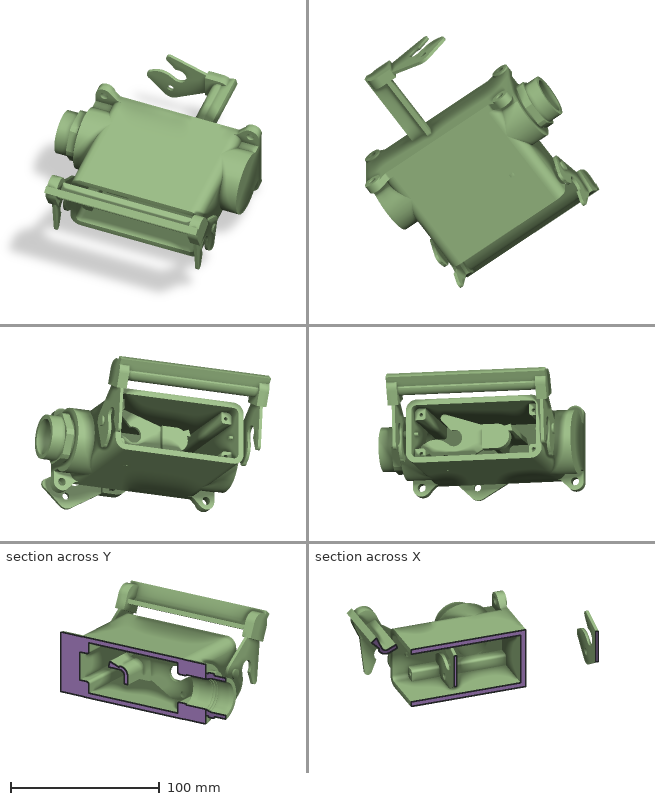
import cadquery as cq


body_half_width = 46.7
body_half_height = 21.6
body_corner_radius = 7.3
wall = 3.8
back_y = 82.8
cavity_half_width = body_half_width - wall
cavity_half_height = body_half_height - wall
cavity_depth = back_y - wall

flange_half_width = 58.7
flange_thickness = 5.0
ear_diameter = 12.0
ear_radius = ear_diameter / 2
ear_hole_diameter = 5.5
ear_boss_height = 1.2
ear_x = flange_half_width - ear_radius
ear_z = 23.0
ear_blend_radius = 1.7
diagonal = 0.5 ** 0.5

entry_y = 57.3
entry_boss_radius = body_half_height
entry_block_half_height = 16.1
entry_bore_diameter = 21.8

post_width = 7.3
post_height = 8.0
post_corner_radius = 2.0
post_front_y = 11.3
post_hole_diameter = 2.5
post_hole_depth = 5.0
post_hole_from_side = 4.3
post_hole_from_floor = 4.5

gland_length = 16.1
gland_tube_diameter = 30.0
gland_neck_diameter = 31.0
gland_neck_length = 1.5
nut_across_flats = 32.2
nut_corner_diameter = 35.2
nut_thickness = 5.3
nut_turn = 30
gland_bore_diameter = 24.3
gland_bore_depth = 12.6
gland_step_diameter = 23.6
gland_step_depth = 14.3
gland_inner_bore_diameter = 22.5

lever_half_width = 54.7
arm_inset = 2.7
arm_thickness = 2.2
hub_width = 7.1
hub_root_x = 25.8
hub_radius = 8.3
hub_center_x = 36.0
hub_center_y = 13.5
hub_bottom = hub_center_y - hub_radius
hub_top = hub_center_y + hub_radius
handle_left = 30.5
handle_bottom = 7.3
handle_thickness = 3.2
handle_bend_y = 13.3
handle_bend_radius = 6.3
lip_bottom = 16.8
lip_end_x = 46.5
lip_top_corner = (45.2, 21.5)
lip_groove = (37.9, 18.8)
lever_hole_diameter = 4.8

pivot_y = 10.1
pin_diameter = 5.2
pin_neck_diameter = lever_hole_diameter
pin_head_diameter = 7.0
pin_head_thickness = 1.3
pin_tip_diameter = 2.5
pin_tip_length = 2.5

front_lever_angle = 115
stored_lever_pivot = (-26.3, 83.1, -13.1)


def lever_arm():
    """Thin hooked plate from the pivot lobe and the claw to the hub."""
    outline = (
        cq.Workplane("XY")
        .moveTo(hub_root_x, hub_bottom)
        .lineTo(3.5, -8.0)
        .threePointArc((-0.2, -8.6), (-3.7, -7.1))
        .lineTo(-15.0, 3.7)
        .threePointArc((-17.0, 7.8), (-14.1, 10.6))
        .threePointArc((-7.5, 13.1), (-1.3, 11.8))
        .lineTo(1.8, 9.8)
        .threePointArc((11.5, 14.0), (4.0, 19.0))
        .lineTo(-2.5, 25.8)
        .threePointArc((-3.2, 28.3), (0.2, 30.0))
        .lineTo(hub_root_x, hub_top)
        .close()
    )
    return outline.extrude(arm_thickness).cut(
        cq.Workplane("XY").circle(lever_hole_diameter / 2).extrude(arm_thickness)
    )


def lever_hub():
    """Block with a round end that joins the arm to the handle."""
    return (
        cq.Workplane("XY")
        .moveTo(hub_root_x, hub_bottom)
        .lineTo(hub_center_x, hub_bottom)
        .threePointArc((hub_center_x + hub_radius, hub_center_y), (hub_center_x, hub_top))
        .lineTo(hub_root_x, hub_top)
        .close()
        .extrude(hub_width)
    )


def lever_handle():
    """Bent grip bar with a lip, over the full width of the lever."""
    bend_x = handle_left + handle_bend_radius
    inner_left = handle_left + handle_thickness
    inner_bend_radius = lip_bottom - handle_bend_y
    inner_bend_x = inner_left + inner_bend_radius
    return (
        cq.Workplane("XY")
        .moveTo(handle_left, handle_bottom)
        .lineTo(handle_left, handle_bend_y)
        .threePointArc(
            (bend_x - handle_bend_radius * diagonal, handle_bend_y + handle_bend_radius * diagonal),
            (bend_x, handle_bend_y + handle_bend_radius),
        )
        .lineTo(*lip_groove)
        .lineTo(*lip_top_corner)
        .lineTo(lip_end_x, lip_bottom)
        .lineTo(inner_bend_x, lip_bottom)
        .threePointArc(
            (inner_bend_x - inner_bend_radius * diagonal, handle_bend_y + inner_bend_radius * diagonal),
            (inner_left, handle_bend_y),
        )
        .lineTo(inner_left, handle_bottom)
        .close()
        .extrude(lever_half_width, both=True)
    )


def make_lever():
    """Lever in its own frame, symmetric about the local XY plane."""
    arm = lever_arm().translate((0, 0, lever_half_width - arm_inset - arm_thickness))
    hub = lever_hub().translate((0, 0, lever_half_width - hub_width))
    side = arm.union(hub)
    return lever_handle().union(side).union(side.mirror("XY"))


def make_front_lever():
    """Lever on the housing pins, swung up in front of the opening."""
    lever = make_lever().rotate((0, 0, 0), (0, 0, 1), front_lever_angle)
    lever = lever.rotate((0, 0, 0), (1, 1, 1), 120)
    return lever.translate((0, pivot_y, 0))


def make_stored_lever():
    """Spare lever that passes through the rear wall, half inside the cavity."""
    return make_lever().rotate((0, 0, 0), (1, 0, 0), 90).translate(stored_lever_pivot)


def block_along_y(half_width, half_height, start_y, end_y):
    """Block centred on X = 0 and Z = 0 between two Y positions."""
    return cq.Workplane("XY").box(
        2 * half_width, end_y - start_y, 2 * half_height, centered=(True, False, True)
    ).translate((0, start_y, 0))


def cylinder_along_x(diameter, start_x, end_x, y):
    """Cylinder along X at the given Y, at Z = 0."""
    return cq.Workplane("YZ", origin=(start_x, y, 0)).circle(diameter / 2).extrude(end_x - start_x)


def cylinder_along_y(diameter, x, z, start_y, end_y):
    """Cylinder along Y at the given X and Z."""
    return cq.Workplane("XZ", origin=(x, start_y, z)).circle(diameter / 2).extrude(start_y - end_y)


def rounded_body():
    """Main block of the housing with rounded long edges."""
    block = block_along_y(body_half_width, body_half_height, 0, back_y)
    return block.edges("|Y").fillet(body_corner_radius)


def housing_shell():
    """Rounded body, rear flange and the two cable entry bosses, still solid."""
    flange = block_along_y(flange_half_width, body_half_height, back_y - flange_thickness, back_y)
    block = block_along_y(flange_half_width, entry_block_half_height, entry_y, back_y)
    boss = cylinder_along_x(2 * entry_boss_radius, -flange_half_width, flange_half_width, entry_y)
    return rounded_body().union(flange).union(block).union(boss)


def mounting_ear():
    """Ear at the +X, +Z corner: a round end with a 45 degree flank and a raised rear pad."""
    tangent_x = ear_x - ear_radius * diagonal
    tangent_z = ear_z + ear_radius * diagonal
    front_y = back_y - flange_thickness
    plate = (
        cq.Workplane("XZ", origin=(0, front_y, 0))
        .moveTo(flange_half_width, 0)
        .lineTo(flange_half_width, ear_z)
        .threePointArc((ear_x, ear_z + ear_radius), (tangent_x, tangent_z))
        .lineTo(tangent_x - tangent_z, 0)
        .close()
        .extrude(-flange_thickness)
    )
    pad = cylinder_along_y(ear_diameter, ear_x, ear_z, front_y, back_y + ear_boss_height)
    return plate.union(pad)


def blend_ears(housing):
    """Round the inner corners between the ear flanks and the flange edge."""
    corner_x = ear_x + body_half_height - ear_z - 2 * ear_radius * diagonal
    for side in (-1, 1):
        for end in (-1, 1):
            corner = cq.Vector(side * corner_x, back_y - flange_thickness / 2, end * body_half_height)
            edge = housing.edges("|Y").edges(cq.NearestToPointSelector(corner.toTuple()))
            housing = edge.fillet(ear_blend_radius)
    return housing


def ear_hole():
    """Screw hole of the +X, +Z ear."""
    return cylinder_along_y(
        ear_hole_diameter, ear_x, ear_z, back_y - flange_thickness, back_y + ear_boss_height
    )


def housing_cavity():
    """Interior space, open at the front."""
    cavity = block_along_y(cavity_half_width, cavity_half_height, 0, cavity_depth)
    return cavity.edges("|Y").fillet(body_corner_radius - wall)


def screw_post():
    """Screw post in the +X, +Z corner of the cavity, with its blind hole."""
    post = (
        cq.Workplane("XY")
        .box(post_width + wall / 2, cavity_depth - post_front_y, post_height + wall / 2, centered=False)
        .edges("|Y and <X and <Z")
        .fillet(post_corner_radius)
        .translate((cavity_half_width - post_width, post_front_y, cavity_half_height - post_height))
    )
    hole = cylinder_along_y(
        post_hole_diameter,
        cavity_half_width - post_hole_from_side,
        cavity_half_height - post_hole_from_floor,
        post_front_y,
        post_front_y + post_hole_depth,
    )
    return post.cut(hole)


def pivot_pin():
    """Headed pin through the +X side wall that carries one lever arm."""
    arm_outer = lever_half_width - arm_inset
    arm_inner = arm_outer - arm_thickness
    tip = cylinder_along_x(pin_tip_diameter, cavity_half_width - pin_tip_length, body_half_width, pivot_y)
    shaft = cylinder_along_x(pin_diameter, cavity_half_width, arm_inner, pivot_y)
    neck = cylinder_along_x(pin_neck_diameter, arm_inner, arm_outer, pivot_y)
    head = cylinder_along_x(pin_head_diameter, arm_outer, arm_outer + pin_head_thickness, pivot_y)
    return tip.union(shaft).union(neck).union(head)


def four_corners(feature):
    """The feature with its mirror images in all four corners."""
    pair = feature.union(feature.mirror("YZ"))
    return pair.union(pair.mirror("XY"))


def make_housing(stored_lever):
    """Housing with its pins, cleared where the stored lever passes through it."""
    outside = rounded_body()
    pin = pivot_pin()
    entry_bore = cylinder_along_x(entry_bore_diameter, -flange_half_width, -cavity_half_width, entry_y)
    housing = blend_ears(housing_shell().union(four_corners(mounting_ear())))
    housing = housing.cut(four_corners(ear_hole()))
    housing = housing.cut(housing_cavity()).union(four_corners(screw_post()).intersect(outside))
    housing = housing.union(pin).union(pin.mirror("YZ"))
    return housing.cut(entry_bore).cut(stored_lever)


def make_gland():
    """Cable gland on the -X entry boss: tube, hexagon nut and neck with a stepped bore."""
    inner_x = -flange_half_width
    nut_x = inner_x - gland_neck_length
    outer_x = inner_x - gland_length
    nut = (
        cq.Workplane("YZ", origin=(nut_x - nut_thickness, entry_y, 0))
        .transformed(rotate=(0, 0, nut_turn))
        .polygon(6, nut_across_flats, circumscribed=True)
        .extrude(nut_thickness)
        .intersect(cylinder_along_x(nut_corner_diameter, nut_x - nut_thickness, nut_x, entry_y))
    )
    neck = cylinder_along_x(gland_neck_diameter, nut_x, inner_x, entry_y)
    tube = cylinder_along_x(gland_tube_diameter, outer_x, nut_x, entry_y)
    bore = cylinder_along_x(gland_bore_diameter, outer_x, outer_x + gland_bore_depth, entry_y)
    step = cylinder_along_x(gland_step_diameter, outer_x, outer_x + gland_step_depth, entry_y)
    inner_bore = cylinder_along_x(gland_inner_bore_diameter, outer_x, inner_x, entry_y)
    return nut.union(tube).union(neck).cut(bore).cut(step).cut(inner_bore)


front_lever = make_front_lever()
stored_lever = make_stored_lever()
housing = make_housing(stored_lever)
gland = make_gland()

bodies = [housing, gland, front_lever, stored_lever]
result = cq.Compound.makeCompound([body.solids().val() for body in bodies])